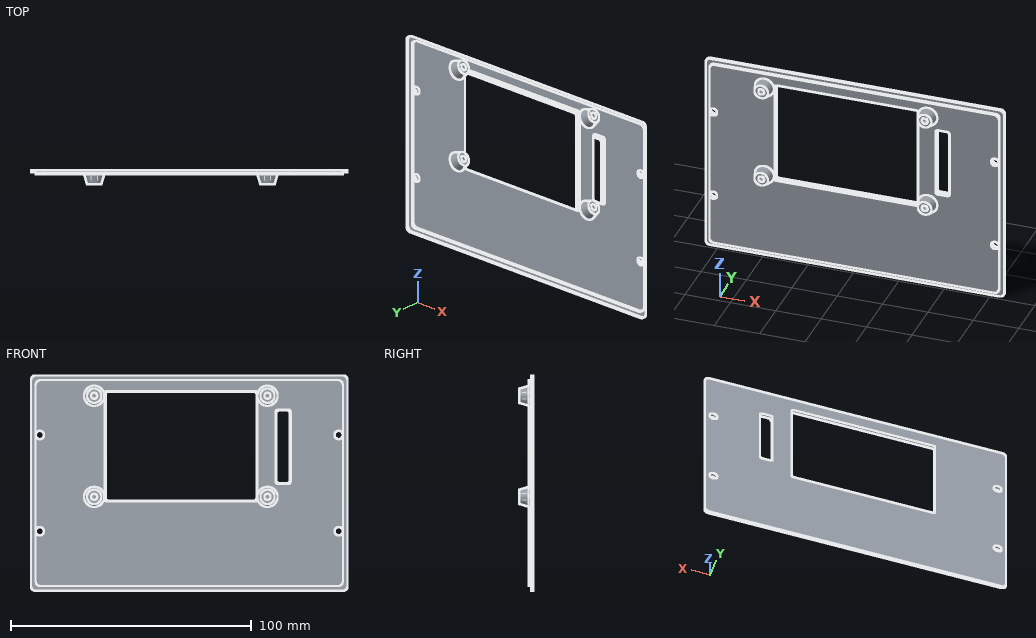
import cadquery as cq
import math

flange_width = 131.6
flange_height = 89.6
flange_thickness = 1.0
flange_corner_radius = 2.0
panel_inset = 2.0
panel_corner_radius = 2.0
plate_thickness = 2.0

standoff_center = (-3.5, 15.3)
standoff_pitch_x = 72.0
standoff_pitch_z = 42.0
standoff_base_diameter = 8.4
standoff_tip_diameter = 6.0
standoff_height = 4.0
screw_hole_diameter = 2.6
screw_hole_depth = standoff_height

window_center = (-3.4, 15.35)
window_width = 62.5
window_height = 45.0
window_corner_radius = 0.6
slot_center = (39.0, 15.1)
slot_width = 5.4
slot_height = 30.0
slot_corner_radius = 0.8
opening_chamfer = 0.5

mounting_hole_diameter = 3.4
mounting_pitch_x = 124.2
mounting_pitch_z = 40.0
mounting_center = (0.0, 0.0)

panel_face_y = -plate_thickness
tip_face_y = panel_face_y - standoff_height


def section(y):
    """Sketch plane at the given Y, with local x along X, local y along Z and normal toward -Y."""
    return cq.Workplane("XZ", origin=(0, y, 0))


def rounded_block(back_y, depth, width, height, radius, center=(0, 0)):
    """Block with rounded corners, running from back_y toward -Y."""
    block = section(back_y).center(*center).rect(width, height).extrude(depth)
    return block.edges("|Y").fillet(radius)


def make_plate():
    flange = rounded_block(0, flange_thickness, flange_width, flange_height, flange_corner_radius)
    panel = rounded_block(
        0,
        plate_thickness,
        flange_width - 2 * panel_inset,
        flange_height - 2 * panel_inset,
        panel_corner_radius,
    )
    return flange.union(panel)


def cut_opening(plate, width, height, radius, center):
    """Cut a rounded through opening and chamfer its rim on the panel face."""
    opened = plate.cut(rounded_block(0, plate_thickness, width, height, radius, center))
    rim_point = (center[0] + width / 2, panel_face_y, center[1])
    return opened.edges(cq.NearestToPointSelector(rim_point)).chamfer(opening_chamfer)


def pattern(y, center, pitch_x, pitch_z):
    """Centers of a 2 x 2 rectangular pattern on the plane at the given Y."""
    return section(y).center(*center).rarray(pitch_x, pitch_z, 2, 2)


def standoff_pattern(y):
    return pattern(y, standoff_center, standoff_pitch_x, standoff_pitch_z)


def add_standoffs(plate):
    """Cones that narrow from the panel face to their tips."""
    radius_loss = (standoff_base_diameter - standoff_tip_diameter) / 2
    taper_angle = math.degrees(math.atan2(radius_loss, standoff_height))
    bases = standoff_pattern(panel_face_y).circle(standoff_base_diameter / 2)
    return plate.union(bases.extrude(standoff_height, taper=taper_angle))


def cut_screw_holes(plate):
    holes = standoff_pattern(tip_face_y).circle(screw_hole_diameter / 2).extrude(-screw_hole_depth)
    return plate.cut(holes)


def cut_mounting_holes(plate):
    centers = pattern(0, mounting_center, mounting_pitch_x, mounting_pitch_z)
    return plate.cut(centers.circle(mounting_hole_diameter / 2).extrude(plate_thickness))


result = make_plate()
result = cut_opening(result, window_width, window_height, window_corner_radius, window_center)
result = cut_opening(result, slot_width, slot_height, slot_corner_radius, slot_center)
result = add_standoffs(result)
result = cut_screw_holes(result)
result = cut_mounting_holes(result)